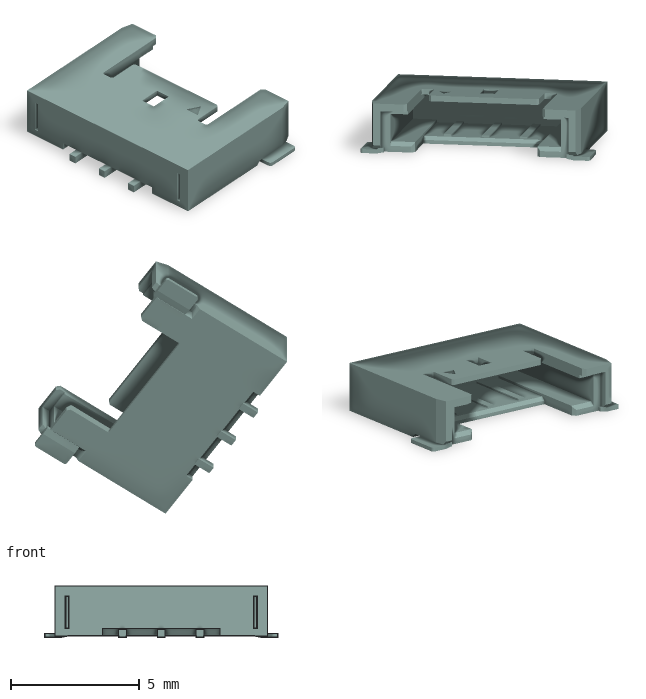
import cadquery as cq


total_width = 9.05
body_width = 8.25
body_depth = 6.1
body_bottom = 0.05
body_top = 2.0
body_height = body_top - body_bottom
half_body = body_width / 2

cavity_bottom = 0.44
centre_floor_top = 0.335
arm_cavity_top = 1.56
tongue_cavity_top = 1.77
side_wall = 0.76
back_wall = 0.905
half_cavity = half_body - side_wall

half_mouth = 3.71
mouth_y = 5.79
mouth_top = 1.7

half_opening = 2.68
opening_bottom_y = 2.79
half_tongue = 2.17
tongue_front_y = 4.09
arm_taper = 0.13
arm_taper_length = 0.49
arm_inner_chamfer = 0.12
tongue_chamfer = 0.09
notch_corner_chamfer = 0.06

floor_front_y = 3.88
floor_chamfer = 0.14
half_floor_gap = 2.42
arm_floor_chamfer = 0.15
arm_floor_corner = 0.13

window_width = 0.6
window_y = (2.41, 3.285)
mark_x = 1.67
mark_width = 0.6
mark_y = (3.07, 3.6)
mark_depth = 0.05

contact_count = 3
contact_pitch = 1.5
contact_width = 0.3
contact_overhang = 0.34
contact_foot_height = 0.31
contact_foot_inner_y = 0.36
contact_beam_top = 0.41
contact_beam_front_y = 3.62

half_relief = 2.28
relief_top = 0.34
relief_depth = 0.16
relief_slope = 0.15

tab_y = (4.44, 5.95)
tab_thickness = 0.15
tab_corner = 0.11
tab_inner_x = 3.6
tab_bend_rise = 0.05
tab_bend_run = 0.29
tab_root_x = 3.82
slot_x = 3.65
slot_width = 0.15
slot_z = (0.335, 1.61)
slot_depth = 0.54
plate_clearance = 0.03
plate_setback = 0.14

tab_relief_top = 0.22
tab_relief_back_y = 4.24
tab_relief_slope = 0.13
tab_relief_width = 0.53
arm_bottom_chamfer = 0.14


def box(x_range, y_range, z_range):
    """Axis-aligned box from its limits along X, Y and Z."""
    (x0, x1), (y0, y1), (z0, z1) = x_range, y_range, z_range
    return cq.Workplane("XY").box(x1 - x0, y1 - y0, z1 - z0, centered=False).translate((x0, y0, z0))


def side_prism(points, x_range):
    """Prism along X from a (y, z) outline."""
    x0, x1 = x_range
    return cq.Workplane("YZ").workplane(offset=x0).polyline(points).close().extrude(x1 - x0)


def front_prism(points, y_range):
    """Prism along Y from an (x, z) outline."""
    y0, y1 = y_range
    return cq.Workplane("XZ").workplane(offset=-y1).polyline(points).close().extrude(y1 - y0)


def both_sides(solid):
    return solid.union(solid.mirror("YZ"))


def make_block():
    """Outer block with tapered front corners."""
    half_front = half_body - arm_taper
    outline = [
        (-half_body, 0), (half_body, 0),
        (half_body, body_depth - arm_taper_length), (half_front, body_depth),
        (-half_front, body_depth), (-half_body, body_depth - arm_taper_length),
    ]
    return cq.Workplane("XY").workplane(offset=body_bottom).polyline(outline).close().extrude(body_height)


def make_cavity():
    """Arm channels, the deeper space under the tongue and the wider mouth."""
    channel_y = (back_wall, body_depth)
    channels = box((-half_cavity, half_cavity), channel_y, (cavity_bottom, arm_cavity_top))
    top_space = box((-half_opening, half_opening), channel_y, (cavity_bottom, tongue_cavity_top))
    floor_drop = box((-half_floor_gap, half_floor_gap), channel_y, (centre_floor_top, cavity_bottom))
    mouth = box((-half_mouth, half_mouth), (mouth_y, body_depth), (body_bottom, mouth_top))
    return channels.union(top_space).union(floor_drop).union(mouth)


def make_roof_opening():
    """Space between the arms, running down both sides of the tongue."""
    outline = [
        (0, tongue_front_y), (half_tongue - tongue_chamfer, tongue_front_y),
        (half_tongue, tongue_front_y - tongue_chamfer),
        (half_tongue, opening_bottom_y + notch_corner_chamfer),
        (half_tongue + notch_corner_chamfer, opening_bottom_y),
        (half_opening - notch_corner_chamfer, opening_bottom_y),
        (half_opening, opening_bottom_y + notch_corner_chamfer),
        (half_opening, body_depth - arm_inner_chamfer),
        (half_opening + arm_inner_chamfer, body_depth), (0, body_depth),
    ]
    right_half = (
        cq.Workplane("XY").workplane(offset=arm_cavity_top)
        .polyline(outline).close().extrude(body_top - arm_cavity_top)
    )
    return both_sides(right_half)


def make_floor_gap():
    """Removes the floor between the arms, ahead of its sloped front edge."""
    outline = [
        (floor_front_y, body_bottom), (body_depth, body_bottom), (body_depth, cavity_bottom),
        (floor_front_y, cavity_bottom), (floor_front_y - floor_chamfer, centre_floor_top),
        (floor_front_y, centre_floor_top - floor_chamfer),
    ]
    return side_prism(outline, (-half_floor_gap, half_floor_gap))


def make_arm_floor_trim():
    """Front slope and inner corner chamfer of the floor below the right arm."""
    slope = side_prism(
        [
            (mouth_y - arm_floor_chamfer, cavity_bottom), (mouth_y, cavity_bottom),
            (mouth_y, cavity_bottom - arm_floor_chamfer),
        ],
        (half_floor_gap, half_cavity),
    )
    corner = (
        cq.Workplane("XY").workplane(offset=body_bottom)
        .polyline([
            (half_floor_gap, mouth_y - arm_floor_corner), (half_floor_gap + arm_floor_corner, mouth_y),
            (half_floor_gap, mouth_y),
        ])
        .close().extrude(cavity_bottom - body_bottom)
    )
    return slope.union(corner)


def make_window():
    return box((-window_width / 2, window_width / 2), window_y, (tongue_cavity_top, body_top))


def make_mark():
    base_y, tip_y = mark_y
    half = mark_width / 2
    return (
        cq.Workplane("XY").workplane(offset=body_top - mark_depth)
        .polyline([(mark_x - half, base_y), (mark_x + half, base_y), (mark_x, tip_y)])
        .close().extrude(mark_depth)
    )


def make_back_relief():
    """Relief with a sloped inner end, under the back wall where the contacts leave."""
    outline = [
        (0, body_bottom), (relief_depth + relief_slope, body_bottom),
        (relief_depth, relief_top), (0, relief_top),
    ]
    return side_prism(outline, (-half_relief, half_relief))


def make_arm_bottom_relief():
    """Clearance above the right solder tab, with the front bottom chamfer of the arm."""
    outline = [
        (tab_relief_back_y - tab_relief_slope, body_bottom), (tab_relief_back_y, tab_relief_top),
        (body_depth - arm_bottom_chamfer, tab_relief_top), (body_depth, tab_relief_top + arm_bottom_chamfer),
        (body_depth, body_bottom),
    ]
    inner_x = half_body - tab_relief_width
    clearance = side_prism(outline, (inner_x, half_body))
    inner_slope = front_prism(
        [
            (inner_x, body_bottom), (inner_x, tab_relief_top),
            (inner_x + tab_relief_top - body_bottom, tab_relief_top),
        ],
        (tab_relief_back_y - tab_relief_slope, mouth_y),
    )
    return clearance.cut(inner_slope)


def make_slot():
    x_range = (slot_x - slot_width / 2, slot_x + slot_width / 2)
    return box(x_range, (0, slot_depth), slot_z)


def make_slot_plate():
    """End of the metal plate standing inside the slot."""
    half = slot_width / 2 - plate_clearance
    z_range = (slot_z[0] + plate_clearance, slot_z[1] - plate_clearance)
    return box((slot_x - half, slot_x + half), (plate_setback, slot_depth), z_range)


def make_tab():
    """Right solder tab: a flat foot rising into the arm at its inner end."""
    outer_x = total_width / 2
    rise = tab_relief_top - tab_thickness
    outline = [
        (tab_inner_x + tab_bend_run, 0), (outer_x, 0), (outer_x, tab_thickness),
        (tab_root_x + rise, tab_thickness), (tab_root_x, tab_relief_top),
        (tab_inner_x, tab_relief_top), (tab_inner_x, tab_bend_rise),
    ]
    return front_prism(outline, tab_y).edges("|Z and >X").fillet(tab_corner)


def make_contact(x):
    x_range = (x - contact_width / 2, x + contact_width / 2)
    foot = box(x_range, (-contact_overhang, contact_foot_inner_y), (0, contact_foot_height))
    beam = box(x_range, (contact_foot_inner_y, contact_beam_front_y), (body_bottom, contact_beam_top))
    return foot.union(beam)


housing = make_block().cut(make_cavity()).cut(make_roof_opening())
housing = housing.cut(make_floor_gap()).cut(both_sides(make_arm_floor_trim()))
housing = housing.cut(make_window()).cut(make_mark()).cut(make_back_relief())
housing = housing.cut(both_sides(make_arm_bottom_relief())).cut(both_sides(make_slot()))

result = housing.union(both_sides(make_slot_plate())).union(both_sides(make_tab()))
for index in range(contact_count):
    contact_x = (index - (contact_count - 1) / 2) * contact_pitch
    result = result.union(make_contact(contact_x))